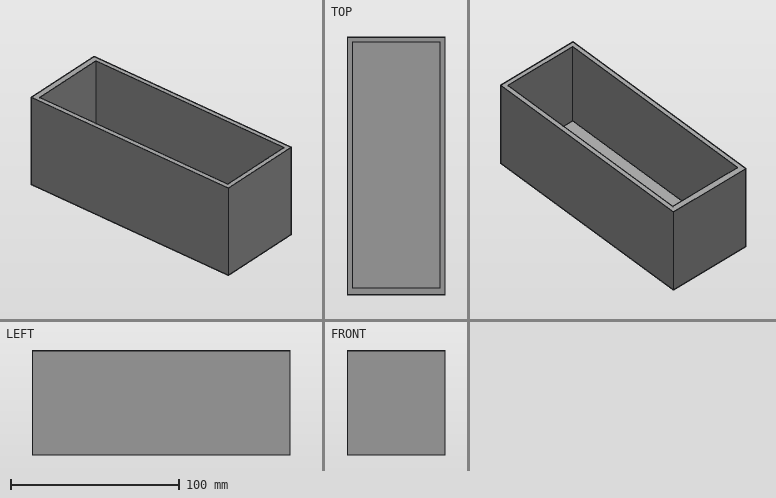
import cadquery as cq

width = 58.0
length = 153.0
height = 62.0

wall = 3.0
front_wall = 4.0
floor = wall

cavity_width = width - 2 * wall
cavity_length = length - wall - front_wall
cavity_depth = height - floor

body = cq.Workplane("XY").box(width, length, height, centered=(True, False, False))

cavity = (
    cq.Workplane("XY")
    .box(cavity_width, cavity_length, cavity_depth, centered=(True, False, False))
    .translate((0, front_wall, floor))
)

result = body.cut(cavity)